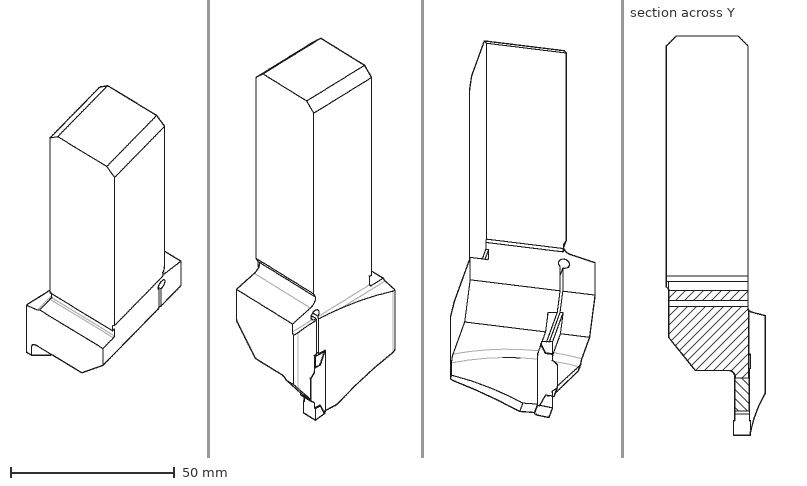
import cadquery as cq


TOTAL_HEIGHT = 122.1

SHANK = 25.0
SHANK_TOP_CHAMFER = 3.0
NECK_RIGHT = 24.3
NECK_RIGHT_TOP = 45.4
NECK_RIGHT_CHAMFER = SHANK - NECK_RIGHT
NECK_FRONT = 0.9
NECK_FRONT_TOP = 42.1
NECK_FOOT_FILLET = 0.5

HEAD_LEFT = -5.3
HEAD_FRONT = -4.9
HEAD_BACK = 34.2
HEAD_TOP = 38.3
HEAD_BOTTOM = 19.8
HEAD_CHAMFER_TOP = 29.9
HEAD_CHAMFER_END = 16.1
SHOULDER_LOW = 36.6
SHOULDER_END_X = -1.0
SHOULDER_END_Z = 37.7
SHOULDER_FILLET_TOP = 39.1
BACK_SHOULDER_LOW = 42.1
BACK_SHOULDER_END_Y = 26.5
BACK_SHOULDER_END_Z = 44.1
BACK_RELIEF_DEPTH = 0.9
BACK_RELIEF_LOW = 47.0
BACK_RELIEF_TOP = 48.7
HEAD_JOIN_Z = BACK_RELIEF_LOW

BLADE_BOTTOM = 1.0
BLADE_TOE_Y = 15.9
BLADE_FRONT_LOW = 13.3
BLADE_BACK_LOW = 18.8
BLADE_FOOT_Z = 8.8
BLADE_OUTER_RADIUS = 90.4
BLADE_OUTER_PEAK_X = -0.2
BLADE_OUTER_PEAK_Y = 25.6
BLADE_BACK_FACE_X = -0.5
BLADE_INNER_RADIUS = 52.5
BLADE_INNER_PEAK_X = 4.2
BLADE_INNER_PEAK_Y = 22.0
BLADE_ROOT_FILLET = 1.8

INSERT_LENGTH = 24.9
INSERT_SEAT_Y = 20.4
INSERT_RAKE_Y = SHANK
INSERT_RIDGE_Y = 26.6
INSERT_RIDGE_START = 6.6
INSERT_RIDGE_FLAT = 8.0
INSERT_END_RELIEF = 0.5
INSERT_LEFT = -0.4
INSERT_RIGHT = BLADE_INNER_PEAK_X
TIP_SIDE_OVERHANG = 0.4
TIP_HEIGHT = 4.5
TIP_LOW_Y = 21.0
TIP_HIGH_Y = 22.8

SLIT_FRONT = 23.2
SLIT_BACK = 24.0
SLIT_HOLE_RADIUS = 1.7
SLIT_HOLE_Y = 24.4
SLIT_HOLE_Z = 40.3


def side_extrusion(outline, left, right):
    """Extrude a closed YZ outline between two X positions."""
    return outline.extrude(right - left).translate((left, 0, 0))


def depth_extrusion(outline, front, back):
    """Extrude a closed XZ outline between two Y positions."""
    return outline.extrude(front - back).translate((0, front, 0))


def box_between(low, high):
    """Axis-aligned box between two opposite corners."""
    size = [b - a for a, b in zip(low, high)]
    return cq.Workplane("XY").box(*size, centered=False).translate(low)


def make_shank():
    shank = box_between((0, 0, HEAD_TOP), (SHANK, SHANK, TOTAL_HEIGHT))
    shank = shank.faces(">Z").edges("|Y").chamfer(SHANK_TOP_CHAMFER)
    front_undercut = box_between((0, 0, HEAD_TOP), (SHANK, NECK_FRONT, NECK_FRONT_TOP))
    right_undercut = (
        cq.Workplane("XZ")
        .moveTo(NECK_RIGHT, HEAD_TOP)
        .lineTo(SHANK, HEAD_TOP)
        .lineTo(SHANK, NECK_RIGHT_TOP)
        .lineTo(NECK_RIGHT, NECK_RIGHT_TOP - NECK_RIGHT_CHAMFER)
        .close()
    )
    back_relief = (
        cq.Workplane("YZ")
        .moveTo(SHANK, HEAD_TOP)
        .lineTo(SHANK - BACK_RELIEF_DEPTH, HEAD_TOP)
        .lineTo(SHANK - BACK_RELIEF_DEPTH, BACK_RELIEF_LOW)
        .lineTo(SHANK, BACK_RELIEF_TOP)
        .close()
    )
    return (
        shank.cut(front_undercut)
        .cut(depth_extrusion(right_undercut, 0, SHANK))
        .cut(side_extrusion(back_relief, 0, SHANK))
    )


def make_head_and_blade():
    """Block swept from front to back, with the blade hanging from its left side."""
    front_outline = (
        cq.Workplane("XZ")
        .moveTo(HEAD_LEFT, 0)
        .lineTo(HEAD_LEFT, SHOULDER_LOW)
        .lineTo(SHOULDER_END_X, SHOULDER_END_Z)
        .tangentArcPoint((0, SHOULDER_FILLET_TOP), relative=False)
        .lineTo(0, HEAD_JOIN_Z)
        .lineTo(NECK_RIGHT, HEAD_JOIN_Z)
        .lineTo(NECK_RIGHT, 0)
        .close()
    )
    side_outline = (
        cq.Workplane("YZ")
        .moveTo(HEAD_FRONT, HEAD_TOP)
        .lineTo(HEAD_FRONT, BLADE_FRONT_LOW)
        .lineTo(BLADE_TOE_Y, BLADE_BOTTOM)
        .lineTo(INSERT_SEAT_Y, BLADE_BOTTOM)
        .lineTo(INSERT_RIDGE_Y, BLADE_FOOT_Z)
        .lineTo(HEAD_BACK, BLADE_BACK_LOW)
        .lineTo(HEAD_BACK, BACK_SHOULDER_LOW)
        .lineTo(BACK_SHOULDER_END_Y, BACK_SHOULDER_END_Z)
        .tangentArcPoint((SHANK - BACK_RELIEF_DEPTH, BACK_RELIEF_LOW), relative=False)
        .lineTo(NECK_FRONT, HEAD_JOIN_Z)
        .lineTo(NECK_FRONT, HEAD_TOP + NECK_FOOT_FILLET)
        .tangentArcPoint((NECK_FRONT - NECK_FOOT_FILLET, HEAD_TOP), relative=False)
        .close()
    )
    block = depth_extrusion(front_outline, HEAD_FRONT, HEAD_BACK)
    block = block.intersect(side_extrusion(side_outline, HEAD_LEFT, NECK_RIGHT))
    return block.cut(make_outer_hollow()).cut(make_space_beside_blade())


def make_outer_hollow():
    """Space left of the concave outer face, with the flat strip at its back."""
    hollow = (
        cq.Workplane("XY")
        .center(BLADE_OUTER_PEAK_X - BLADE_OUTER_RADIUS, BLADE_OUTER_PEAK_Y)
        .circle(BLADE_OUTER_RADIUS)
        .extrude(HEAD_JOIN_Z)
    )
    back_strip = box_between(
        (HEAD_LEFT, BLADE_OUTER_PEAK_Y, 0), (BLADE_BACK_FACE_X, HEAD_BACK, HEAD_JOIN_Z)
    )
    return hollow.union(back_strip)


def make_space_beside_blade():
    """Space under the head, right of the convex inner face of the blade."""
    center_x = BLADE_INNER_PEAK_X - BLADE_INNER_RADIUS
    under_head = (
        cq.Workplane("XZ")
        .moveTo(HEAD_LEFT, 0)
        .lineTo(HEAD_LEFT, HEAD_BOTTOM)
        .lineTo(HEAD_CHAMFER_END, HEAD_BOTTOM)
        .lineTo(NECK_RIGHT, HEAD_CHAMFER_TOP)
        .lineTo(NECK_RIGHT, 0)
        .close()
    )
    column = (
        cq.Workplane("XZ")
        .moveTo(center_x, 0)
        .lineTo(BLADE_INNER_PEAK_X, 0)
        .lineTo(BLADE_INNER_PEAK_X, HEAD_BOTTOM - BLADE_ROOT_FILLET)
        .radiusArc((BLADE_INNER_PEAK_X + BLADE_ROOT_FILLET, HEAD_BOTTOM), BLADE_ROOT_FILLET)
        .lineTo(center_x, HEAD_BOTTOM)
        .close()
        .revolve(360, (center_x, 0, 0), (center_x, 1, 0))
        .translate((0, BLADE_INNER_PEAK_Y, 0))
    )
    return depth_extrusion(under_head, HEAD_FRONT, HEAD_BACK).cut(column)


def insert_outline():
    """Side outline of the insert, with a raised ridge between its two rake faces."""
    return (
        cq.Workplane("YZ")
        .moveTo(INSERT_SEAT_Y, INSERT_END_RELIEF)
        .lineTo(INSERT_RAKE_Y, 0)
        .lineTo(INSERT_RAKE_Y, INSERT_RIDGE_START)
        .lineTo(INSERT_RIDGE_Y, INSERT_RIDGE_FLAT)
        .lineTo(INSERT_RIDGE_Y, INSERT_LENGTH - INSERT_RIDGE_FLAT)
        .lineTo(INSERT_RAKE_Y, INSERT_LENGTH - INSERT_RIDGE_START)
        .lineTo(INSERT_RAKE_Y, INSERT_LENGTH)
        .lineTo(INSERT_SEAT_Y, INSERT_LENGTH - INSERT_END_RELIEF)
        .close()
    )


def make_insert():
    body = side_extrusion(insert_outline(), INSERT_LEFT, INSERT_RIGHT)
    end_slope = INSERT_END_RELIEF / (INSERT_RAKE_Y - INSERT_SEAT_Y)
    tip_outline = (
        cq.Workplane("YZ")
        .moveTo(INSERT_RAKE_Y, 0)
        .lineTo(TIP_LOW_Y, (INSERT_RAKE_Y - TIP_LOW_Y) * end_slope)
        .lineTo(TIP_HIGH_Y, TIP_HEIGHT)
        .lineTo(INSERT_RAKE_Y, TIP_HEIGHT)
        .close()
    )
    lower_tip = side_extrusion(
        tip_outline, INSERT_LEFT - TIP_SIDE_OVERHANG, INSERT_RIGHT + TIP_SIDE_OVERHANG
    )
    upper_tip = lower_tip.mirror("XY", (0, 0, INSERT_LENGTH / 2))
    return body.union(lower_tip).union(upper_tip)


def make_clamping_slit():
    slit = box_between(
        (HEAD_LEFT, SLIT_FRONT, INSERT_LENGTH - INSERT_END_RELIEF),
        (SHANK, SLIT_BACK, SLIT_HOLE_Z),
    )
    hole = cq.Workplane("YZ").center(SLIT_HOLE_Y, SLIT_HOLE_Z).circle(SLIT_HOLE_RADIUS)
    return slit.union(side_extrusion(hole, HEAD_LEFT, SHANK))


def make_holder():
    pocket = side_extrusion(insert_outline(), HEAD_LEFT, SHANK)
    holder = make_shank().union(make_head_and_blade())
    return holder.cut(pocket).cut(make_clamping_slit().cut(pocket))


holder = make_holder()
insert = make_insert()
result = cq.Compound.makeCompound([holder.val(), insert.val()])